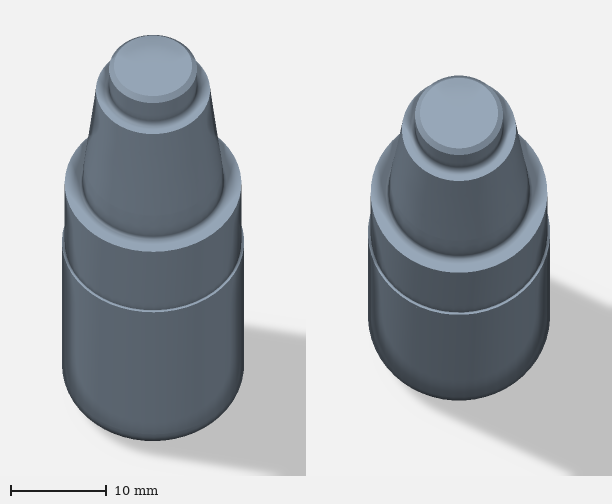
import cadquery as cq

total_height = 52.4
housing_height = 22.8
flange_height = 23.3
shoulder_height = 32.95
nose_seam_height = 36.4
nose_top_height = 48.4

housing_radius = 19.05 / 2
collar_radius = 18.5 / 2
nose_base_radius = 7.4
nose_seam_radius = 7.2
nose_top_radius = 5.95
button_radius = 9.2 / 2

housing_bottom_fillet = 3.15
nose_base_fillet = 0.3
button_fillet = 0.5
button_chamfer = 0.5


def make_housing():
    """Cylindrical housing with a rounded bottom."""
    housing = cq.Workplane("XY").circle(housing_radius).extrude(housing_height)
    return housing.faces("<Z").edges().fillet(housing_bottom_fillet)


def make_collar():
    """Collar with a thin flange, flush with the housing, at its lower end."""
    base = cq.Workplane("XY").workplane(offset=housing_height)
    flange = base.circle(housing_radius).extrude(flange_height - housing_height)
    collar = base.circle(collar_radius).extrude(shoulder_height - housing_height)
    return flange.union(collar)


def make_nose():
    """Tapered nose, steepening at its base, with a round button on top."""
    taper_slope = (nose_top_radius - nose_seam_radius, nose_top_height - nose_seam_height)
    nose_foot_height = shoulder_height + nose_base_fillet
    button_foot_height = nose_top_height + button_fillet
    button_edge_height = total_height - button_chamfer
    profile = (
        cq.Workplane("XZ")
        .moveTo(0, shoulder_height)
        .lineTo(nose_base_radius + nose_base_fillet, shoulder_height)
        .radiusArc((nose_base_radius, nose_foot_height), nose_base_fillet)
        .spline([(nose_seam_radius, nose_seam_height)], tangents=[(0, 1), taper_slope], includeCurrent=True)
        .lineTo(nose_top_radius, nose_top_height)
        .lineTo(button_radius + button_fillet, nose_top_height)
        .radiusArc((button_radius, button_foot_height), button_fillet)
        .lineTo(button_radius, button_edge_height)
        .lineTo(button_radius - button_chamfer, total_height)
        .lineTo(0, total_height)
        .close()
    )
    return profile.revolve(360, (0, 0, 0), (0, 1, 0))


housing = make_housing()
insert = make_collar().union(make_nose())

result = cq.Compound.makeCompound([housing.val(), insert.val()])